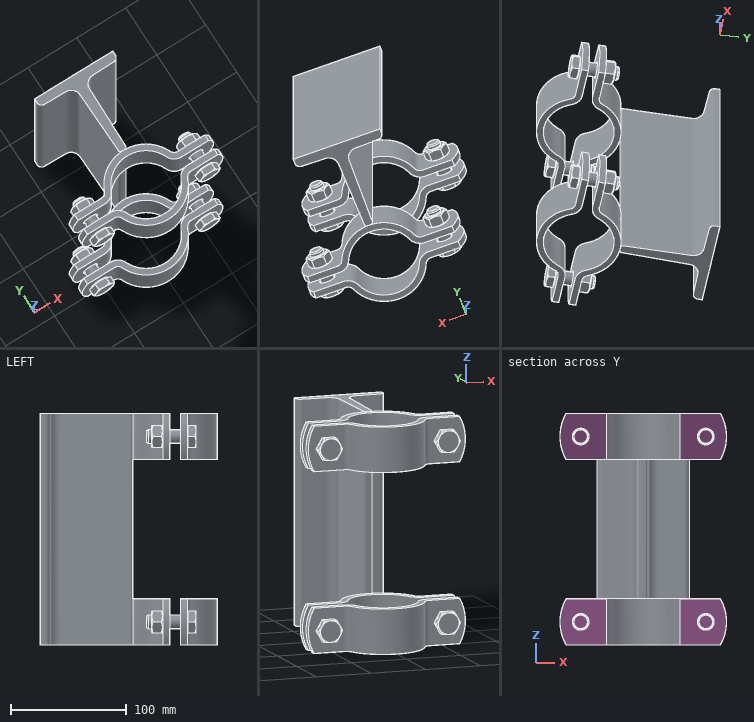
import cadquery as cq
import math

RAIL_LENGTH = 200.0
TEE_WIDTH = 80.0
TEE_HEIGHT = 80.0
TEE_THICKNESS = 9.0
TEE_TAPER = 0.02
ROOT_RADIUS = 9.0
FLANGE_EDGE_RADIUS = 4.5
WEB_TIP_RADIUS = 2.0

CLAMP_OUTER_DIAMETER = 73.0
STRAP_THICKNESS = 6.0
STRAP_GAP = 9.0
BEND_RADIUS = 6.0
CLAMP_WIDTH = 144.0
CLAMP_HEIGHT = 40.0
EAR_END_RADIUS = 40.0

BOLT_DIAMETER = 12.0
BOLT_LENGTH = 35.0
BOLT_TIP_DIAMETER = 10.0
BOLT_TIP_LENGTH = 1.5
BOLT_SPACING = 108.0
BOLT_HOLE_DIAMETER = 14.0
HEX_SIDES = 6
HEX_ACROSS_FLATS = 19.0
HEAD_HEIGHT = 7.5
NUT_HEIGHT = 10.0
NUT_FACE_DIAMETER = 17.2
HEAD_FACE_DIAMETER = 19.0
WASHER_FACE_DIAMETER = 17.2
WASHER_FACE_HEIGHT = 0.6
HEX_CHAMFER_ANGLE = 30.0

outer_radius = CLAMP_OUTER_DIAMETER / 2
inner_radius = outer_radius - STRAP_THICKNESS
strap_inner_y = STRAP_GAP / 2
strap_outer_y = strap_inner_y + STRAP_THICKNESS
hex_corner_diameter = HEX_ACROSS_FLATS / math.cos(math.pi / HEX_SIDES)


def make_tee_rail():
    """Tee section standing on Z = 0, its web tip touching the clamps."""
    tip_y = outer_radius
    back_y = tip_y + TEE_HEIGHT
    half_width = TEE_WIDTH / 2
    tip_half = TEE_THICKNESS / 2 - TEE_TAPER * TEE_HEIGHT / 2
    edge_thickness = TEE_THICKNESS - TEE_TAPER * TEE_WIDTH / 4

    web_side_at_edge_level = tip_half + TEE_TAPER * (TEE_HEIGHT - edge_thickness)
    root_drop = TEE_TAPER * (half_width - web_side_at_edge_level) / (1 - TEE_TAPER**2)
    root_x = web_side_at_edge_level - TEE_TAPER * root_drop
    root_y = back_y - edge_thickness - root_drop

    right_side = [
        (tip_half, tip_y),
        (root_x, root_y),
        (half_width, back_y - edge_thickness),
        (half_width, back_y),
    ]
    left_side = [(-x, y) for x, y in reversed(right_side)]
    rail = cq.Workplane("XY").polyline(right_side + left_side).close().extrude(RAIL_LENGTH)

    rounded_edges = [
        (tip_half, tip_y, WEB_TIP_RADIUS),
        (root_x, root_y, ROOT_RADIUS),
        (half_width, back_y - edge_thickness, FLANGE_EDGE_RADIUS),
    ]
    for x, y, radius in rounded_edges:
        for side in (-1, 1):
            nearest = cq.NearestToPointSelector((side * x, y, RAIL_LENGTH / 2))
            rail = rail.edges("|Z").edges(nearest).fillet(radius)
    return rail


def make_strap():
    """Clamp half on the +Y side: a half ring bent out into two flat ears."""
    half_width = CLAMP_WIDTH / 2
    bend_center_y = strap_outer_y + BEND_RADIUS
    bend_center_distance = outer_radius + BEND_RADIUS
    bend_x = math.sqrt(bend_center_distance**2 - bend_center_y**2)
    direction_x = bend_x / bend_center_distance
    direction_y = bend_center_y / bend_center_distance
    inner_x, inner_y = inner_radius * direction_x, inner_radius * direction_y
    outer_x, outer_y = outer_radius * direction_x, outer_radius * direction_y

    band = (
        cq.Workplane("XY")
        .moveTo(-half_width, strap_inner_y)
        .lineTo(-bend_x, strap_inner_y)
        .tangentArcPoint((-inner_x, inner_y), relative=False)
        .threePointArc((0, inner_radius), (inner_x, inner_y))
        .tangentArcPoint((bend_x, strap_inner_y), relative=False)
        .lineTo(half_width, strap_inner_y)
        .lineTo(half_width, strap_outer_y)
        .lineTo(bend_x, strap_outer_y)
        .tangentArcPoint((outer_x, outer_y), relative=False)
        .threePointArc((0, outer_radius), (-outer_x, outer_y))
        .tangentArcPoint((-bend_x, strap_outer_y), relative=False)
        .lineTo(-half_width, strap_outer_y)
        .close()
        .extrude(CLAMP_HEIGHT / 2, both=True)
    )

    half_height = CLAMP_HEIGHT / 2
    ear_bulge = EAR_END_RADIUS - math.sqrt(EAR_END_RADIUS**2 - half_height**2)
    corner_x = half_width - ear_bulge
    silhouette = (
        cq.Workplane("XZ")
        .moveTo(-corner_x, -half_height)
        .lineTo(corner_x, -half_height)
        .threePointArc((half_width, 0), (corner_x, half_height))
        .lineTo(-corner_x, half_height)
        .threePointArc((-half_width, 0), (-corner_x, -half_height))
        .close()
        .extrude(outer_radius, both=True)
    )
    bolt_holes = (
        cq.Workplane("XZ")
        .pushPoints([(-BOLT_SPACING / 2, 0), (BOLT_SPACING / 2, 0)])
        .circle(BOLT_HOLE_DIAMETER / 2)
        .extrude(outer_radius, both=True)
    )
    return band.intersect(silhouette).cut(bolt_holes)


def turn_corners(hexagon, height, face_diameter):
    """Turn off the upper corners of a hexagon with a shallow cone that ends at a round face."""
    corner_radius = hex_corner_diameter / 2
    face_radius = face_diameter / 2
    cone_drop = (corner_radius - face_radius) * math.tan(math.radians(HEX_CHAMFER_ANGLE))
    turned_blank = (
        cq.Workplane("XZ")
        .moveTo(0, 0)
        .lineTo(corner_radius, 0)
        .lineTo(corner_radius, height - cone_drop)
        .lineTo(face_radius, height)
        .lineTo(0, height)
        .close()
        .revolve(360, (0, 0), (0, 1))
    )
    return hexagon.intersect(turned_blank)


def make_hex(height):
    """Plain hexagon standing on Z = 0 with corners on X."""
    return cq.Workplane("XY").polygon(HEX_SIDES, hex_corner_diameter).extrude(height)


def flip(body, height):
    """Turn a body that stands between Z = 0 and the height upside down in place."""
    return body.rotate((0, 0, height / 2), (1, 0, height / 2), 180)


def make_head():
    """Bolt head below Z = 0, bearing on a thin round washer face."""
    hex_height = HEAD_HEIGHT - WASHER_FACE_HEIGHT
    hexagon = turn_corners(make_hex(hex_height), hex_height, HEAD_FACE_DIAMETER)
    washer_face = cq.Workplane("XY").circle(WASHER_FACE_DIAMETER / 2).extrude(-WASHER_FACE_HEIGHT)
    return flip(hexagon, hex_height).translate((0, 0, -HEAD_HEIGHT)).union(washer_face)


def make_nut():
    """Nut standing on Z = 0, its corners turned off at both ends."""
    nut = turn_corners(make_hex(NUT_HEIGHT), NUT_HEIGHT, NUT_FACE_DIAMETER)
    return turn_corners(flip(nut, NUT_HEIGHT), NUT_HEIGHT, NUT_FACE_DIAMETER)


def make_bolt_with_nut():
    """Bolt at X = 0 pointing along +Y, head and nut seated on the outer strap faces."""
    shank = (
        cq.Workplane("XY")
        .circle(BOLT_DIAMETER / 2)
        .extrude(BOLT_LENGTH)
        .faces(">Z")
        .chamfer(BOLT_TIP_LENGTH, (BOLT_DIAMETER - BOLT_TIP_DIAMETER) / 2)
    )
    nut = make_nut().translate((0, 0, 2 * strap_outer_y))
    bolt = shank.union(make_head()).union(nut)
    return bolt.rotate((0, 0, 0), (1, 0, 0), -90).translate((0, -strap_outer_y, 0))


def make_clamp(center_z):
    """Both straps joined by their two tightened bolts."""
    strap = make_strap()
    clamp = strap
    for side in (-1, 1):
        bolt = make_bolt_with_nut().translate((side * BOLT_SPACING / 2, 0, 0))
        clamp = clamp.union(bolt)
    clamp = clamp.union(strap.mirror("XZ"))
    return clamp.translate((0, 0, center_z))


tee_rail = make_tee_rail()
clamps = [
    make_clamp(center_z)
    for center_z in (CLAMP_HEIGHT / 2, RAIL_LENGTH - CLAMP_HEIGHT / 2)
]
result = cq.Compound.makeCompound([
    tee_rail.solids().val(),
    *[clamp.solids().val() for clamp in clamps],
])